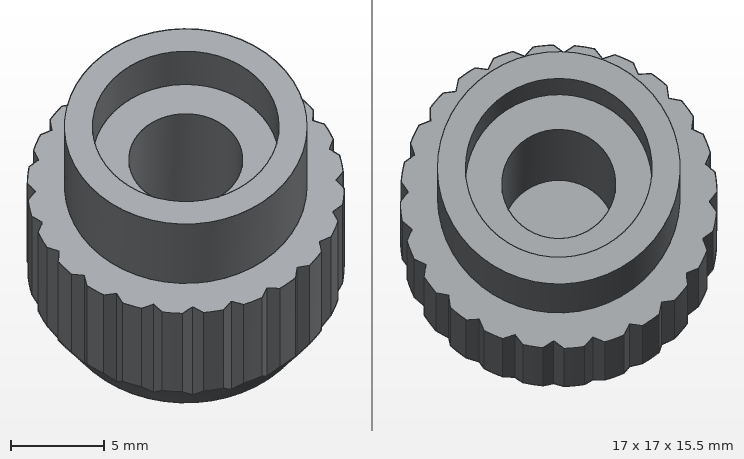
import cadquery as cq
import math

total_height = 15.5
shoulder_height = 10.15
taper_height = 3.05

tooth_count = 24
crest_radius = 8.5
valley_radius = 8.07
crest_angle = 7.4
bottom_diameter = 13.98

collar_diameter = 13.0
counterbore_diameter = 10.0
counterbore_depth = 3.0
bore_diameter = 6.1
bore_floor = taper_height


def polar_point(radius, degrees):
    angle = math.radians(degrees)
    return (radius * math.cos(angle), radius * math.sin(angle))


def make_grip():
    """Toothed prism, with a valley on the +X axis."""
    pitch_angle = 360.0 / tooth_count
    outline = cq.Workplane("XY").moveTo(*polar_point(valley_radius, 0))
    for tooth in range(tooth_count):
        middle = (tooth + 0.5) * pitch_angle
        outline = outline.lineTo(*polar_point(crest_radius, middle - crest_angle / 2))
        outline = outline.threePointArc(
            polar_point(crest_radius, middle),
            polar_point(crest_radius, middle + crest_angle / 2),
        )
        if tooth < tooth_count - 1:
            outline = outline.lineTo(*polar_point(valley_radius, middle + pitch_angle / 2))
    return outline.close().extrude(shoulder_height)


def make_taper_envelope():
    """Cone below a cylinder, which trims the lower ends of the teeth."""
    profile = [
        (0, 0),
        (bottom_diameter / 2, 0),
        (crest_radius, taper_height),
        (crest_radius, shoulder_height),
        (0, shoulder_height),
    ]
    return cq.Workplane("XZ").polyline(profile).close().revolve(360, (0, 0), (0, 1))


def make_cylinder(diameter, bottom, top):
    return cq.Workplane("XY").workplane(offset=bottom).circle(diameter / 2).extrude(top - bottom)


grip = make_grip().intersect(make_taper_envelope())
collar = make_cylinder(collar_diameter, shoulder_height, total_height)
counterbore = make_cylinder(counterbore_diameter, total_height - counterbore_depth, total_height)
bore = make_cylinder(bore_diameter, bore_floor, total_height)

result = grip.union(collar).cut(counterbore).cut(bore)